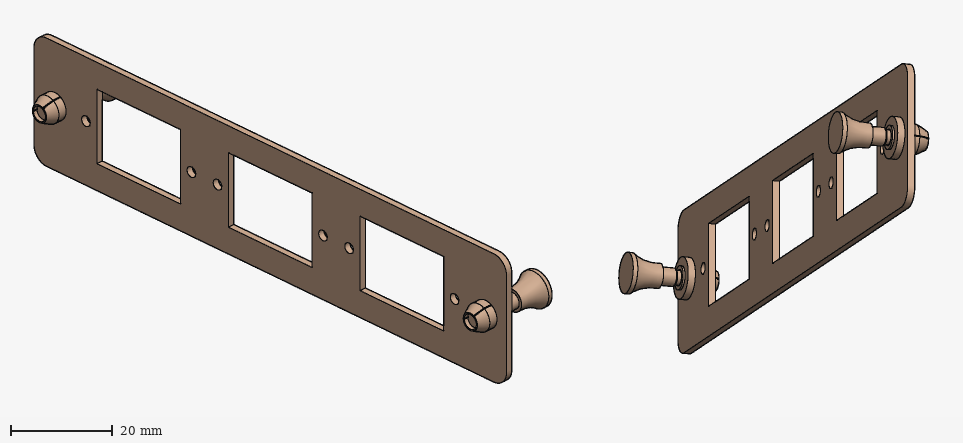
import cadquery as cq

panel_length = 129.54
panel_height = 28.96
panel_thickness = 1.52
corner_radius = 3.5

group_count = 3
group_pitch = 36.07
window_width = 22.86
window_height = 16.76
screw_hole_diameter = 2.32
screw_hole_spacing = 28.9

fastener_spacing = 118.1
fastener_places = (-fastener_spacing / 2, fastener_spacing / 2)
fastener_length = 18.78

nose_radius = 3.1
nose_tip_radius = 1.95
nose_mid_radius = 2.57
nose_length = 4.3
nose_straight_length = 2.0
flange_radius = 4.2
flange_thickness = 1.5
lip_radius = 2.4
lip_height = 0.4
slit_count = 3
slit_width = 0.2
slit_reach = nose_radius + 1
first_slit_angle = 60

shank_radius = 1.65
shank_recess = 1.0
stem_radius = 1.85
neck_radius = 1.5
neck_length = 0.8
neck_taper_length = 0.35
collar_radius = 2.5
collar_length = 1.15
rim_radius = 4.1
rim_length = 0.95
bell_length = 4.85
bell_mid_radius = 2.85

nose_tip_y = -nose_length
shank_front_y = nose_tip_y + shank_recess
flange_back_y = panel_thickness + flange_thickness
lip_back_y = flange_back_y + lip_height
neck_back_y = lip_back_y + neck_length
stem_front_y = neck_back_y + neck_taper_length
knob_back_y = nose_tip_y + fastener_length
rim_front_y = knob_back_y - rim_length
collar_back_y = rim_front_y - bell_length
collar_front_y = collar_back_y - collar_length


def along_y(profile):
    """Close a (Y, radius) profile in the YZ plane and revolve it about the Y axis."""
    return profile.close().revolve(360, (0, 0, 0), (1, 0, 0))


def cylinder_through_panel(x, radius):
    """Round plug that cuts a hole through the panel at the given X."""
    return (
        cq.Workplane("XZ", origin=(x, 0, 0))
        .circle(radius)
        .extrude(-panel_thickness)
    )


def make_panel():
    panel = (
        cq.Workplane("XZ")
        .rect(panel_length, panel_height)
        .extrude(-panel_thickness)
        .edges("|Y")
        .fillet(corner_radius)
    )
    for index in range(group_count):
        group_x = (index - (group_count - 1) / 2) * group_pitch
        window = (
            cq.Workplane("XZ", origin=(group_x, 0, 0))
            .rect(window_width, window_height)
            .extrude(-panel_thickness)
        )
        panel = panel.cut(window)
        for side in (-1, 1):
            hole_x = group_x + side * screw_hole_spacing / 2
            panel = panel.cut(cylinder_through_panel(hole_x, screw_hole_diameter / 2))
    for x in fastener_places:
        panel = panel.cut(cylinder_through_panel(x, nose_radius))
    return panel


def make_grommet(x):
    """Stepped sleeve with a tapered nose split by radial slits."""
    nose_mid_y = -(nose_length + nose_straight_length) / 2
    grommet = along_y(
        cq.Workplane("YZ")
        .moveTo(nose_tip_y, shank_radius)
        .lineTo(nose_tip_y, nose_tip_radius)
        .threePointArc((nose_mid_y, nose_mid_radius), (-nose_straight_length, nose_radius))
        .lineTo(panel_thickness, nose_radius)
        .lineTo(panel_thickness, flange_radius)
        .lineTo(flange_back_y, flange_radius)
        .lineTo(flange_back_y, lip_radius)
        .lineTo(lip_back_y, lip_radius)
        .lineTo(lip_back_y, shank_radius)
    )
    for index in range(slit_count):
        slit = (
            cq.Workplane("XY")
            .box(slit_reach, nose_length, slit_width)
            .translate((slit_reach / 2, -nose_length / 2, 0))
            .rotate((0, 0, 0), (0, -1, 0), first_slit_angle + index * 360 / slit_count)
        )
        grommet = grommet.cut(slit)
    return grommet.translate((x, 0, 0))


def make_plunger(x):
    """Shank ending just inside the grommet tip, with a neck, stem, collar and flared knob."""
    bell_mid_y = (collar_back_y + rim_front_y) / 2
    plunger = along_y(
        cq.Workplane("YZ")
        .moveTo(shank_front_y, 0)
        .lineTo(shank_front_y, shank_radius)
        .lineTo(lip_back_y, shank_radius)
        .lineTo(lip_back_y, neck_radius)
        .lineTo(neck_back_y, neck_radius)
        .lineTo(stem_front_y, stem_radius)
        .lineTo(collar_front_y, stem_radius)
        .lineTo(collar_front_y, collar_radius)
        .lineTo(collar_back_y, collar_radius)
        .threePointArc((bell_mid_y, bell_mid_radius), (rim_front_y, rim_radius))
        .lineTo(knob_back_y, rim_radius)
        .lineTo(knob_back_y, 0)
    )
    return plunger.translate((x, 0, 0))


panel = make_panel()
grommets = [make_grommet(x) for x in fastener_places]
plungers = [make_plunger(x) for x in fastener_places]

result = cq.Compound.makeCompound([part.val() for part in [panel, *grommets, *plungers]])